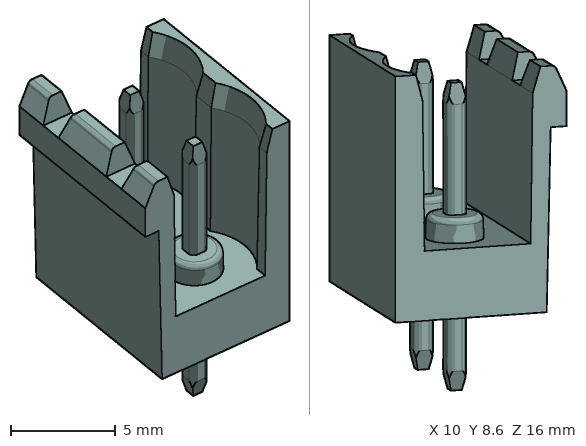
import cadquery as cq


pin_count = 2
pitch = 5.0
housing_length = pin_count * pitch
housing_height = 12.0
floor_height = 3.4
lead_in_height = 1.28
shoulder_height = housing_height - lead_in_height

back_inner_top = -1.03
back_inner_shoulder = -1.36
back_inner_floor = -1.46

front_inner_top = -7.28
front_inner_shoulder = -6.89
front_inner_floor = -6.79
front_outer_lip = -7.8
front_outer_base = -7.6
lip_front = -8.6
lip_bottom = 9.0
lip_top_corner = -8.01
lip_top_radius = 0.3

notch_top_width = 1.8
notch_bottom_width = 1.2

pin_y = -3.8
pin_width = 1.0
pin_edge_radius = 0.3
pin_top = 11.0
pin_bottom = -4.0
pin_tip_width = 0.54
pin_tip_length = 1.0

collar_base_radius = 1.39
collar_draft_angle = 1.5
collar_top = 4.6
collar_edge_radius = 0.3

recess_radius_top = 3.42
recess_radius_shoulder = 3.1
recess_radius_floor = 2.98

pin_positions = [(index + 0.5) * pitch - housing_length / 2 for index in range(pin_count)]


def make_housing():
    """U-shaped section with a latch lip, extruded along X."""
    housing = (
        cq.Workplane("YZ")
        .moveTo(0, 0)
        .lineTo(0, housing_height)
        .lineTo(back_inner_top, housing_height)
        .lineTo(back_inner_shoulder, shoulder_height)
        .lineTo(back_inner_floor, floor_height)
        .lineTo(front_inner_floor, floor_height)
        .lineTo(front_inner_shoulder, shoulder_height)
        .lineTo(front_inner_top, housing_height)
        .lineTo(lip_top_corner, housing_height)
        .lineTo(lip_front, shoulder_height)
        .lineTo(lip_front, lip_bottom)
        .lineTo(front_outer_lip, lip_bottom)
        .lineTo(front_outer_base, 0)
        .close()
        .extrude(housing_length / 2, both=True)
    )
    lip_edge = cq.selectors.NearestToPointSelector((0, lip_top_corner, housing_height))
    return housing.edges(lip_edge).fillet(lip_top_radius)


def make_recess(x):
    """Stepped cone around the pin axis, kept to the back half where it meets the back wall."""
    return (
        cq.Workplane("XZ", origin=(x, pin_y, 0))
        .moveTo(0, floor_height)
        .lineTo(recess_radius_floor, floor_height)
        .lineTo(recess_radius_shoulder, shoulder_height)
        .lineTo(recess_radius_top, housing_height)
        .lineTo(0, housing_height)
        .close()
        .revolve(180, (0, 0), (0, 1))
    )


def make_notch(x):
    """Trapezoidal cutter through the top of the front wall."""
    return (
        cq.Workplane("XZ", origin=(x, pin_y, 0))
        .moveTo(-notch_bottom_width / 2, shoulder_height)
        .lineTo(notch_bottom_width / 2, shoulder_height)
        .lineTo(notch_top_width / 2, housing_height)
        .lineTo(-notch_top_width / 2, housing_height)
        .close()
        .extrude(pin_y - lip_front)
    )


def make_pin_side(plane, origin):
    """Bar with the pin's pointed outline on the given vertical plane."""
    half_width = pin_width / 2
    half_tip = pin_tip_width / 2
    return (
        cq.Workplane(plane, origin=origin)
        .moveTo(-half_tip, pin_bottom)
        .lineTo(half_tip, pin_bottom)
        .lineTo(half_width, pin_bottom + pin_tip_length)
        .lineTo(half_width, pin_top - pin_tip_length)
        .lineTo(half_tip, pin_top)
        .lineTo(-half_tip, pin_top)
        .lineTo(-half_width, pin_top - pin_tip_length)
        .lineTo(-half_width, pin_bottom + pin_tip_length)
        .close()
        .extrude(pin_width, both=True)
    )


def make_pin(x):
    """Square pin with rounded edges and four-sided tips at both ends."""
    origin = (x, pin_y, 0)
    bar = (
        cq.Workplane("XY", origin=(x, pin_y, pin_bottom))
        .rect(pin_width, pin_width)
        .extrude(pin_top - pin_bottom)
        .edges("|Z")
        .fillet(pin_edge_radius)
    )
    return bar.intersect(make_pin_side("XZ", origin)).intersect(make_pin_side("YZ", origin))


def make_collar(x):
    """Slightly tapered round collar on the housing floor, with a rounded top edge."""
    return (
        cq.Workplane("XY", origin=(x, pin_y, floor_height))
        .circle(collar_base_radius)
        .extrude(collar_top - floor_height, taper=collar_draft_angle)
        .faces(">Z")
        .edges()
        .fillet(collar_edge_radius)
    )


result = make_housing()
for pin_x in pin_positions:
    result = result.cut(make_recess(pin_x)).cut(make_notch(pin_x))
for pin_x in pin_positions:
    result = result.union(make_collar(pin_x)).union(make_pin(pin_x))